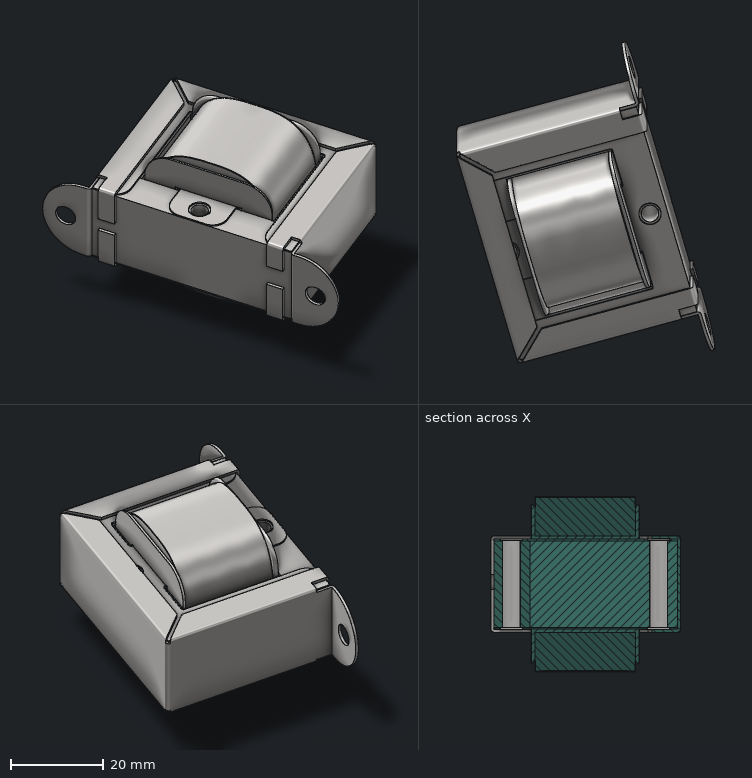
import cadquery as cq
import math


CORE_HALF_WIDTH = 24.1
CORE_BACK = 20.0
CORE_FRONT = -19.8
CORE_HALF_STACK = 9.4
CENTER_LEG_HALF_WIDTH = 8.0
WINDOW_HALF_WIDTH = 15.9
WINDOW_BACK = 11.85
WINDOW_FRONT = -12.0
CORE_HOLE_DIAMETER = 3.8
BACK_HOLE_Y = 15.85
FRONT_HOLE_Y = -16.0

PLATE_THICKNESS = 0.35
PLATE_HOLE_DIAMETER = 4.8
PLATE_WINDOW_HALF_WIDTH = 16.4
PLATE_WINDOW_BACK = 12.35
PLATE_WINDOW_FILLET = 0.4
PLATE_LEG_HALF_WIDTH = 7.6
TONGUE_HALF_WIDTH = 6.8
LEG_END_RADIUS = 3.6

FLANGE_HALF_WIDTH = 15.35
FLANGE_HALF_HEIGHT = 17.15
FLANGE_CORNER_RADIUS = 6.4
FLANGE_OUTER_FACE = 11.7
FLANGE_THICKNESS = 0.85
FLANGE_RIM_FILLET = 0.7
TUBE_WALL = 0.7

WINDING_HALF_WIDTH = 15.15
WINDING_HALF_HEIGHT = 19.1
WINDING_EXPONENT = 2.9
ARCH_POINTS = 13
TAPE_THICKNESS = 0.2

SHEET = 0.7
BEND_RADIUS = 0.9
RIM_HALF_OPENING = 18.35
RIM_BACK_EDGE = 14.4
MITRE_GAP = 1.0
NOTCH_START = -16.15
TAB_WIDTH = 3.9
LEFT_TOP_TAB_END = 2.1
RIGHT_TOP_TAB_END = 4.0
BOTTOM_TAB_END = -1.15
EAR_TIP = 35.7
EAR_HOLE_X = 30.15
EAR_HOLE_DIAMETER = 4.8

CORE_MIDDLE = (CORE_BACK + CORE_FRONT) / 2
STACK_HALF_HEIGHT = CORE_HALF_STACK + PLATE_THICKNESS
FLANGE_INNER_FACE = FLANGE_OUTER_FACE - FLANGE_THICKNESS
TUBE_HALF_WIDTH = CENTER_LEG_HALF_WIDTH + TUBE_WALL
TUBE_HALF_HEIGHT = STACK_HALF_HEIGHT + TUBE_WALL
FRAME_HALF_WIDTH = CORE_HALF_WIDTH + SHEET
FRAME_HALF_HEIGHT = STACK_HALF_HEIGHT + SHEET
FRAME_BACK = CORE_BACK + SHEET
FRAME_FRONT = CORE_FRONT - SHEET
EAR_HALF_HEIGHT = FRAME_HALF_HEIGHT - BEND_RADIUS
TAB_OUTER_EDGE = RIM_HALF_OPENING + TAB_WIDTH


def block(x_min, x_max, y_min, y_max, z_min, z_max):
    """Box given by its limits along each axis."""
    size = (x_max - x_min, y_max - y_min, z_max - z_min)
    return cq.Workplane("XY").box(*size, centered=False).translate((x_min, y_min, z_min))


def centered_block(half_width, y_min, y_max, half_height):
    """Box symmetric in X and Z."""
    return block(-half_width, half_width, y_min, y_max, -half_height, half_height)


def hole_along_z(diameter, y):
    """Cylinder long enough to pass through the whole stack."""
    return (
        cq.Workplane("XY")
        .center(0, y)
        .circle(diameter / 2)
        .extrude(STACK_HALF_HEIGHT, both=True)
    )


def make_e_core():
    """Back yoke with its two outer legs and the centre leg."""
    core = centered_block(CORE_HALF_WIDTH, WINDOW_FRONT, CORE_BACK, CORE_HALF_STACK)
    window = centered_block(
        WINDOW_HALF_WIDTH, WINDOW_FRONT, WINDOW_BACK, CORE_HALF_STACK
    )
    center_leg = centered_block(
        CENTER_LEG_HALF_WIDTH, WINDOW_FRONT, WINDOW_BACK, CORE_HALF_STACK
    )
    core = core.cut(window).union(center_leg)
    return core.cut(hole_along_z(CORE_HOLE_DIAMETER, BACK_HOLE_Y))


def make_i_core():
    """Front yoke that closes the ends of the three legs."""
    core = centered_block(CORE_HALF_WIDTH, CORE_FRONT, WINDOW_FRONT, CORE_HALF_STACK)
    return core.cut(hole_along_z(CORE_HOLE_DIAMETER, FRONT_HOLE_Y))


def plate_slot(side):
    """Open slot between the centre leg and one outer leg of a cover lamination."""
    back = PLATE_WINDOW_BACK
    tongue_start = -FLANGE_OUTER_FACE
    rounding_start = CORE_FRONT + LEG_END_RADIUS
    slot = (
        cq.Workplane("XY")
        .moveTo(PLATE_LEG_HALF_WIDTH, back)
        .lineTo(PLATE_WINDOW_HALF_WIDTH, back)
        .lineTo(PLATE_WINDOW_HALF_WIDTH, rounding_start)
        .radiusArc((PLATE_WINDOW_HALF_WIDTH + LEG_END_RADIUS, CORE_FRONT), -LEG_END_RADIUS)
        .lineTo(TONGUE_HALF_WIDTH - LEG_END_RADIUS, CORE_FRONT)
        .radiusArc((TONGUE_HALF_WIDTH, rounding_start), -LEG_END_RADIUS)
        .lineTo(TONGUE_HALF_WIDTH, tongue_start)
        .lineTo(PLATE_LEG_HALF_WIDTH, tongue_start)
        .close()
        .extrude(PLATE_THICKNESS)
        .edges("|Z and >Y")
        .fillet(PLATE_WINDOW_FILLET)
    )
    return slot if side > 0 else slot.mirror("YZ")


def make_cover_plate(side):
    """Thin E lamination: yoke at the back on top (side = 1), yoke at the front below (side = -1)."""
    plate = block(-CORE_HALF_WIDTH, CORE_HALF_WIDTH, CORE_FRONT, CORE_BACK, 0, PLATE_THICKNESS)
    for slot_side in (-1, 1):
        plate = plate.cut(plate_slot(slot_side))
    if side < 0:
        plate = plate.rotate((0, CORE_MIDDLE, 0), (0, CORE_MIDDLE, 1), 180)
    for y in (FRONT_HOLE_Y, BACK_HOLE_Y):
        plate = plate.cut(hole_along_z(PLATE_HOLE_DIAMETER, y))
    return plate.translate((0, 0, CORE_HALF_STACK if side > 0 else -STACK_HALF_HEIGHT))


def make_bobbin():
    """Rectangular tube around the centre leg with a rounded flange at each end."""
    bobbin = centered_block(
        TUBE_HALF_WIDTH, -FLANGE_OUTER_FACE, FLANGE_OUTER_FACE, TUBE_HALF_HEIGHT
    )
    for y_min, inner_face in ((-FLANGE_OUTER_FACE, ">Y"), (FLANGE_INNER_FACE, "<Y")):
        flange = centered_block(
            FLANGE_HALF_WIDTH, y_min, y_min + FLANGE_THICKNESS, FLANGE_HALF_HEIGHT
        )
        flange = flange.edges("|Y").fillet(FLANGE_CORNER_RADIUS)
        bobbin = bobbin.union(flange.faces(inner_face).edges().fillet(FLANGE_RIM_FILLET))
    bore = centered_block(
        CENTER_LEG_HALF_WIDTH, -FLANGE_OUTER_FACE, FLANGE_OUTER_FACE, STACK_HALF_HEIGHT
    )
    return bobbin.cut(bore)


def winding_arch(half_width, half_height):
    """Points of the upper half of a superellipse, from its +X end over the top to its -X end."""
    power = 2 / WINDING_EXPONENT
    points = []
    for index in range(ARCH_POINTS):
        angle = math.pi * index / (ARCH_POINTS - 1)
        cosine = math.cos(angle)
        x = math.copysign(half_width * abs(cosine) ** power, cosine)
        z = half_height * math.sin(angle) ** power
        points.append((x, z))
    return points


def winding_envelope(inset):
    """Superellipse prism between the flanges, shrunk by the inset all round."""
    arch = winding_arch(WINDING_HALF_WIDTH - inset, WINDING_HALF_HEIGHT - inset)
    lower_arch = [(-x, -z) for x, z in arch]
    return (
        cq.Workplane("XZ", origin=(0, FLANGE_INNER_FACE, 0))
        .moveTo(*arch[0])
        .spline(arch[1:], tangents=[(0, 1), (0, -1)], includeCurrent=True)
        .spline(lower_arch[1:], tangents=[(0, -1), (0, 1)], includeCurrent=True)
        .close()
        .extrude(2 * FLANGE_INNER_FACE)
    )


def make_coil():
    """Wire wound on the bobbin tube."""
    tube = centered_block(
        TUBE_HALF_WIDTH, -FLANGE_INNER_FACE, FLANGE_INNER_FACE, TUBE_HALF_HEIGHT
    )
    return winding_envelope(TAPE_THICKNESS).cut(tube)


def make_tape():
    """Wrapper around the coil."""
    return winding_envelope(0).cut(winding_envelope(TAPE_THICKNESS))


def add_ear(frame, side):
    """Round-ended mounting ear bent outwards from the front of one side wall."""
    arc_center = EAR_TIP - EAR_HALF_HEIGHT
    ear = block(
        CORE_HALF_WIDTH, arc_center, FRAME_FRONT, CORE_FRONT, -EAR_HALF_HEIGHT, EAR_HALF_HEIGHT
    )
    front_plane = cq.Workplane("XZ", origin=(0, CORE_FRONT, 0))
    ear = ear.union(front_plane.center(arc_center, 0).circle(EAR_HALF_HEIGHT).extrude(SHEET))
    inside_wall = block(
        0, CORE_HALF_WIDTH, FRAME_FRONT, CORE_FRONT, -EAR_HALF_HEIGHT, EAR_HALF_HEIGHT
    )
    ear = ear.cut(inside_wall)
    ear = ear.cut(front_plane.center(EAR_HOLE_X, 0).circle(EAR_HOLE_DIAMETER / 2).extrude(SHEET))
    frame = frame.union(ear if side > 0 else ear.mirror("YZ"))
    bend_edge = cq.selectors.NearestToPointSelector((side * CORE_HALF_WIDTH, FRAME_FRONT, 0))
    return frame.edges("|Z").edges(bend_edge).fillet(BEND_RADIUS)


def mitre_cut(x_side, z_side):
    """Diagonal slot between the back rim and a side rim, running in from the outer corner."""
    reach = 2 * (FRAME_HALF_WIDTH - RIM_HALF_OPENING)
    slot = (
        cq.Workplane("XY")
        .box(2 * reach, MITRE_GAP, BEND_RADIUS)
        .rotate((0, 0, 0), (0, 0, 1), 45 * x_side)
    )
    z = z_side * (FRAME_HALF_HEIGHT - BEND_RADIUS / 2)
    return slot.translate((x_side * FRAME_HALF_WIDTH, FRAME_BACK, z))


def trim_side(x_side, top_tab_end):
    """Material to remove at the front of one side: above and below the ear and around the tabs."""
    cuts = block(
        RIM_HALF_OPENING, CORE_HALF_WIDTH, FRAME_FRONT, CORE_FRONT, BOTTOM_TAB_END, top_tab_end
    )
    cuts = cuts.union(
        block(
            TAB_OUTER_EDGE, CORE_HALF_WIDTH, FRAME_FRONT, CORE_FRONT,
            -FRAME_HALF_HEIGHT, FRAME_HALF_HEIGHT,
        )
    )
    for z_min in (-FRAME_HALF_HEIGHT, EAR_HALF_HEIGHT):
        cuts = cuts.union(
            block(
                TAB_OUTER_EDGE, FRAME_HALF_WIDTH, FRAME_FRONT, NOTCH_START,
                z_min, z_min + BEND_RADIUS,
            )
        )
    return cuts if x_side > 0 else cuts.mirror("YZ")


def make_frame():
    """Sheet-metal frame wrapped round the sides and back of the core."""
    frame = centered_block(FRAME_HALF_WIDTH, FRAME_FRONT, FRAME_BACK, FRAME_HALF_HEIGHT)
    frame = frame.edges("not(|Z and <Y)").fillet(BEND_RADIUS)
    frame = frame.cut(
        centered_block(CORE_HALF_WIDTH, CORE_FRONT, CORE_BACK, STACK_HALF_HEIGHT)
    )
    frame = frame.cut(
        centered_block(RIM_HALF_OPENING, FRAME_FRONT, RIM_BACK_EDGE, FRAME_HALF_HEIGHT)
    )
    for x_side, top_tab_end in ((-1, LEFT_TOP_TAB_END), (1, RIGHT_TOP_TAB_END)):
        frame = frame.cut(trim_side(x_side, top_tab_end))
        for z_side in (-1, 1):
            frame = frame.cut(mitre_cut(x_side, z_side))
    for x_side in (-1, 1):
        frame = add_ear(frame, x_side)
    return frame


e_core = make_e_core()
i_core = make_i_core()
cover_plates = [make_cover_plate(side) for side in (-1, 1)]
bobbin = make_bobbin()
coil = make_coil()
tape = make_tape()
frame = make_frame()

result = cq.Compound.makeCompound(
    [
        e_core.val(),
        i_core.val(),
        *[plate.val() for plate in cover_plates],
        bobbin.val(),
        coil.val(),
        tape.val(),
        frame.val(),
    ]
)